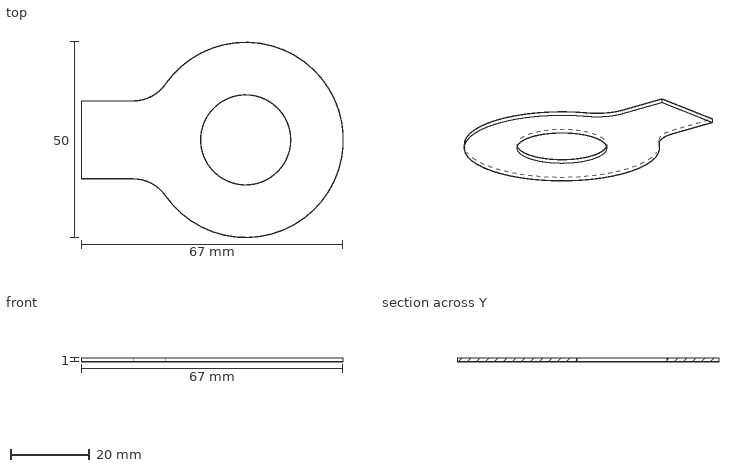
import cadquery as cq
import math

thickness = 1.0
outer_diameter = 50.0
hole_diameter = 23.0
tab_width = 20.0
tab_reach = 42.0
neck_radius = 10.0

outer_radius = outer_diameter / 2
tab_half_width = tab_width / 2

neck_center_y = tab_half_width + neck_radius
neck_center_distance = outer_radius + neck_radius
neck_center_x = -math.sqrt(neck_center_distance**2 - neck_center_y**2)

ring_share = outer_radius / neck_center_distance
ring_tangent_x = neck_center_x * ring_share
ring_tangent_y = neck_center_y * ring_share


def make_blank():
    """Ring and tab outline, without the hole."""
    return (
        cq.Workplane("XY")
        .moveTo(-tab_reach, -tab_half_width)
        .lineTo(neck_center_x, -tab_half_width)
        .radiusArc((ring_tangent_x, -ring_tangent_y), neck_radius)
        .threePointArc((outer_radius, 0), (ring_tangent_x, ring_tangent_y))
        .radiusArc((neck_center_x, tab_half_width), neck_radius)
        .lineTo(-tab_reach, tab_half_width)
        .close()
        .extrude(thickness)
    )


def make_hole():
    """Cutter for the central through hole."""
    return cq.Workplane("XY").circle(hole_diameter / 2).extrude(thickness)


result = make_blank().cut(make_hole())